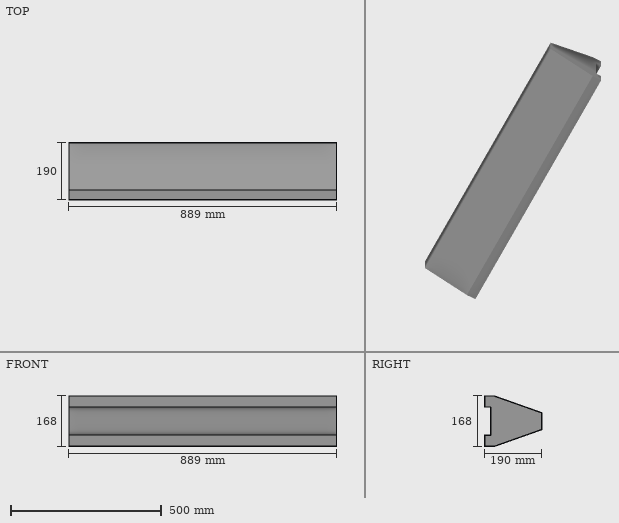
import cadquery as cq

length = 889.0
depth = 190.0
height = 168.0

back_height = 56.0
flat_depth = 32.0
slot_height = 93.0
slot_depth = 20.0

front_y = -depth / 2
back_y = depth / 2
taper_start_y = front_y + flat_depth

bar = (
    cq.Workplane("YZ")
    .polyline([
        (front_y, -height / 2),
        (taper_start_y, -height / 2),
        (back_y, -back_height / 2),
        (back_y, back_height / 2),
        (taper_start_y, height / 2),
        (front_y, height / 2),
    ])
    .close()
    .extrude(length / 2, both=True)
)

slot = (
    cq.Workplane("XY")
    .box(length, slot_depth, slot_height)
    .translate((0, front_y + slot_depth / 2, 0))
)

result = bar.cut(slot)